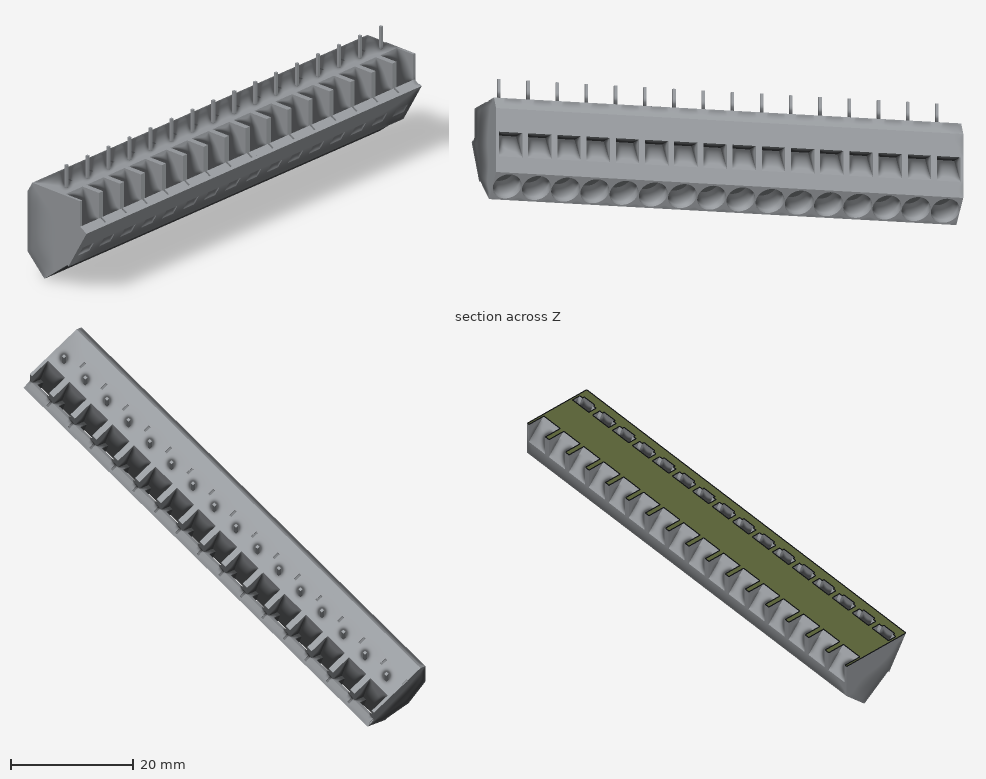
import cadquery as cq
import math

length = 80.0
pole_count = 16
pitch = length / pole_count
pole_centers = [(i + 0.5) * pitch for i in range(pole_count)]
slope = math.tan(math.radians(60))

width = 13.3
body_height = 16.4
chamfer_width = 1.1
chamfer_height = chamfer_width * slope
bottom_edge_x = 3.8
front_bottom_z = bottom_edge_x
back_x = 11.8
ledge_back_z = 11.8
ledge_tip_z = ledge_back_z - (width - back_x) / slope
step_top = (9.0, 4.1)
step_bottom = (9.2, 3.8)

pin_x = 6.5
pin_size = 0.5
pin_length = 4.1
pin_root = 0.8

window_width = 4.0
window_bottom_z = 6.5
window_height = 4.1
window_depth = 3.4

hole_diameter = 4.8
hole_depth = 5.0

pocket_front_x = 8.2
pocket_width = 4.0
throat_front_x = 10.3
throat_rear_x = 11.3
throat_width = 2.6
lead_in_drop = 0.3

slit_width = 0.4
slit_depth = 0.3
top_slit_x = (4.1, 5.3)
ledge_slit_x = (back_x, 12.8)


def extrude_along_y(points, center_y, thickness):
    """Prism with an XZ outline, centred on center_y."""
    outline = cq.Workplane("XZ", origin=(0, center_y, 0)).polyline(points).close()
    return outline.extrude(thickness / 2, both=True)


def make_body():
    outline = [
        (0, front_bottom_z),
        (0, body_height - chamfer_height),
        (chamfer_width, body_height),
        (back_x, body_height),
        (back_x, ledge_back_z),
        (width, ledge_tip_z),
        step_bottom,
        step_top,
        (bottom_edge_x, 0),
    ]
    return extrude_along_y(outline, length / 2, length)


def make_pin(y):
    base_z = body_height - pin_root
    pin = cq.Workplane("XY", origin=(pin_x, y, base_z)).rect(pin_size, pin_size)
    return pin.extrude(pin_root + pin_length)


def make_window(y):
    """Wedge recess whose floor climbs inward from the lower window edge."""
    top_z = window_bottom_z + window_height
    outline = [(0, window_bottom_z), (0, top_z), (window_depth, top_z)]
    return extrude_along_y(outline, y, window_width)


def make_round_hole(y):
    face_center = cq.Vector(bottom_edge_x / 2, y, front_bottom_z / 2)
    inward = cq.Vector(1, 0, 1).normalized()
    return cq.Workplane(cq.Solid.makeCylinder(hole_diameter / 2, hole_depth, face_center, inward))


def rear_face_z(x):
    """Height of the lower rear face at a given x."""
    return ledge_tip_z - (width - x) * slope


def make_pocket(y):
    """Wide pocket with a steep front wall and a sloped floor, opened downward by a throat."""
    exit_z = rear_face_z(throat_front_x)
    wall_slope = (body_height - exit_z) / (throat_front_x - pocket_front_x)
    ledge_offset = body_height - ledge_back_z + pocket_front_x * wall_slope + back_x * slope
    floor_x = ledge_offset / (wall_slope + slope)
    floor_z = ledge_back_z - (back_x - floor_x) * slope
    pocket_outline = [
        (pocket_front_x, body_height),
        (back_x, body_height),
        (back_x, ledge_back_z),
        (floor_x, floor_z),
    ]
    throat_outline = [
        (pocket_front_x, body_height),
        (back_x, body_height),
        (back_x, ledge_back_z),
        (throat_rear_x, ledge_back_z - lead_in_drop),
        (throat_rear_x, 0),
        (throat_front_x, 0),
        (throat_front_x, exit_z),
    ]
    pocket = extrude_along_y(pocket_outline, y, pocket_width)
    return pocket.union(extrude_along_y(throat_outline, y, throat_width))


def ledge_z(x):
    """Height of the sloping ledge at a given x."""
    return ledge_back_z - (x - back_x) / slope


def make_joint_slits(y):
    """One slit in the top face and one in the ledge."""
    top_start, top_end = top_slit_x
    top_outline = [
        (top_start, body_height),
        (top_end, body_height),
        (top_end, body_height - slit_depth),
        (top_start, body_height - slit_depth),
    ]
    start, end = ledge_slit_x
    ledge_outline = [
        (start, ledge_z(start)),
        (end, ledge_z(end)),
        (end, ledge_z(end) - slit_depth),
        (start, ledge_z(start) - slit_depth),
    ]
    top_slit = extrude_along_y(top_outline, y, slit_width)
    return top_slit.union(extrude_along_y(ledge_outline, y, slit_width))


result = make_body()
for y in pole_centers:
    result = result.cut(make_window(y)).cut(make_round_hole(y)).cut(make_pocket(y))
    result = result.cut(make_joint_slits(y + pitch / 2))
    result = result.union(make_pin(y))